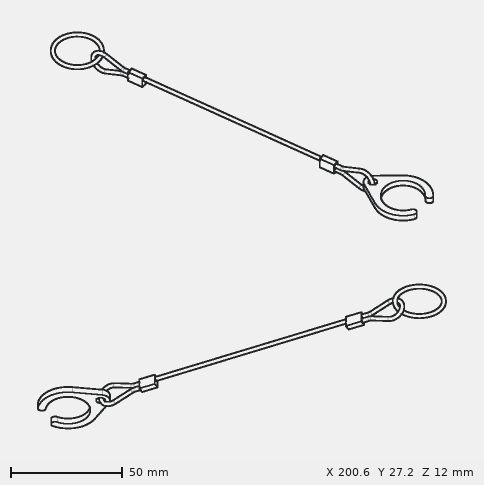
import cadquery as cq
import math

ring_diameter = 24.0
ring_wire = 2.0
ring_x = -88.3

lanyard_x = -3.8
cable_diameter = 2.0
loop_height = 12.0
loop_offset = 70.8
neck_offset = 59.0
bend_radius = 4.0
leg_z = 1.2
ferrule_outer = 56.0
ferrule_inner = 48.2
ferrule_width = 3.0
ferrule_height = 5.2
loop_radius = (loop_height - cable_diameter) / 2

clip_thickness = 3.0
jaw_x = 88.7
jaw_inner_radius = 10.0
jaw_outer_radius = 13.6
tip_x = 100.3
eye_x = 72.2
eye_hole_radius = 2.0
eye_outer_radius = 4.2


def polar(center_x, radius, angle):
    """Point on a circle centred on the local X axis."""
    return (center_x + radius * math.cos(angle), radius * math.sin(angle))


def below(point):
    """Mirror image of a point across the local X axis."""
    return (point[0], -point[1])


def make_ring():
    path_radius = (ring_diameter - ring_wire) / 2
    return cq.Workplane("XY").add(cq.Solid.makeTorus(path_radius, ring_wire / 2)).translate((ring_x, 0, 0))


def make_loop():
    """Teardrop loop on the +X side, with both legs ending on the ferrule's outer face."""
    run = loop_offset - neck_offset
    bend_z = leg_z + bend_radius
    slope = math.atan2(run, bend_z) - math.acos((loop_radius + bend_radius) / math.hypot(run, bend_z))

    def bend_point(angle):
        return (neck_offset + bend_radius * math.sin(angle), bend_z - bend_radius * math.cos(angle))

    bend_middle = bend_point(slope / 2)
    bend_end = bend_point(slope)
    arc_start = polar(loop_offset, loop_radius, math.pi / 2 + slope)
    path = (
        cq.Workplane("XZ")
        .moveTo(ferrule_outer, leg_z)
        .lineTo(neck_offset, leg_z)
        .threePointArc(bend_middle, bend_end)
        .lineTo(*arc_start)
        .threePointArc((loop_offset + loop_radius, 0), below(arc_start))
        .lineTo(*below(bend_end))
        .threePointArc(below(bend_middle), (neck_offset, -leg_z))
        .lineTo(ferrule_outer, -leg_z)
    )
    return cq.Workplane("YZ", origin=(ferrule_outer, 0, leg_z)).circle(cable_diameter / 2).sweep(path)


def make_ferrule():
    length = ferrule_outer - ferrule_inner
    return (
        cq.Workplane("YZ", origin=(ferrule_inner, 0, 0))
        .rect(ferrule_width, ferrule_height)
        .extrude(length)
    )


def make_lanyard():
    cable = (
        cq.Workplane("YZ", origin=(-ferrule_inner, 0, leg_z))
        .circle(cable_diameter / 2)
        .extrude(2 * ferrule_inner)
    )
    end = make_ferrule().union(make_loop())
    return cable.union(end).union(end.mirror("YZ")).translate((lanyard_x, 0, 0))


def make_clip():
    tip_radius = (jaw_outer_radius - jaw_inner_radius) / 2
    arm_radius = (jaw_outer_radius + jaw_inner_radius) / 2
    tip_angle = math.acos((tip_x - tip_radius - jaw_x) / arm_radius)
    cap_x, cap_y = polar(jaw_x, arm_radius, tip_angle)
    cap_middle = (
        cap_x + tip_radius * math.sin(tip_angle),
        cap_y - tip_radius * math.cos(tip_angle),
    )

    flank_angle = math.pi - math.acos((jaw_outer_radius - eye_outer_radius) / (jaw_x - eye_x))

    outer_tip = polar(jaw_x, jaw_outer_radius, tip_angle)
    inner_tip = polar(jaw_x, jaw_inner_radius, tip_angle)
    jaw_flank = polar(jaw_x, jaw_outer_radius, flank_angle)
    eye_flank = polar(eye_x, eye_outer_radius, flank_angle)

    jaw_top = (jaw_x, jaw_outer_radius)
    return (
        cq.Workplane("XY", origin=(0, 0, -clip_thickness / 2))
        .moveTo(*outer_tip)
        .threePointArc(jaw_top, jaw_flank)
        .lineTo(*eye_flank)
        .threePointArc((eye_x - eye_outer_radius, 0), below(eye_flank))
        .lineTo(*below(jaw_flank))
        .threePointArc(below(jaw_top), below(outer_tip))
        .threePointArc(below(cap_middle), below(inner_tip))
        .threePointArc((jaw_x - jaw_inner_radius, 0), inner_tip)
        .threePointArc(cap_middle, outer_tip)
        .close()
        .moveTo(eye_x, 0)
        .circle(eye_hole_radius)
        .extrude(clip_thickness)
    )


ring = make_ring()
lanyard = make_lanyard()
clip = make_clip()

result = cq.Compound.makeCompound([ring.val(), *lanyard.solids().vals(), clip.val()])